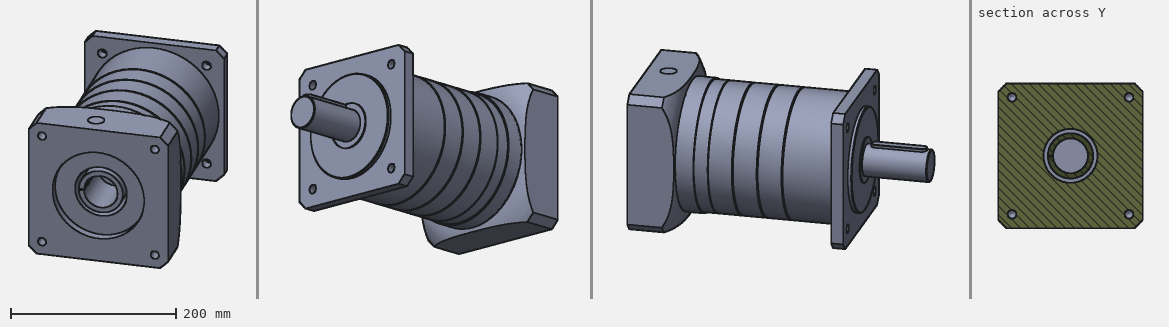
import cadquery as cq
import math


motor_block_length = 58.5
spigot_length = 23.0
input_band_length = 17.0
gear_band_length = 31.0
gear_band_count = 3
output_barrel_length = 63.0
flange_thickness = 15.0
pilot_length = 5.0
collar_length = 1.5
overall_length = 356.5

spigot_start = motor_block_length
input_band_start = spigot_start + spigot_length
ring_start = input_band_start + input_band_length
barrel_start = ring_start + gear_band_count * gear_band_length
flange_start = barrel_start + output_barrel_length
pilot_start = flange_start + flange_thickness
collar_start = pilot_start + pilot_length
shaft_start = collar_start + collar_length
shaft_length = overall_length - shaft_start

square_side = 175.0
corner_chamfer = 10.0
barrel_diameter = 162.0
spigot_diameter = 165.0
pilot_diameter = 130.0
pilot_chamfer = 1.0
collar_diameter = 56.0
shaft_diameter = 40.0
shaft_chamfer = 1.0

bevel_length = 0.9
bevel_depth = 0.5
spigot_chamfer = 0.5

flange_bolt_circle = 185.0
flange_hole_diameter = 11.0
motor_bolt_circle = 200.0
motor_hole_diameter = 10.2
motor_hole_depth = 25.0
drill_tip_angle = 118.0
drill_tip_length = motor_hole_diameter / 2 / math.tan(math.radians(drill_tip_angle / 2))

back_round_radius = 50.0
back_round_start = barrel_diameter / 2
back_round_end = 119.0

recess_diameter = 115.0
recess_depth = 12.0
hub_clearance_diameter = 65.0
hub_diameter = 55.0
hub_bore_diameter = 42.0
hub_face = 11.0
hub_end = 75.0
hub_slit_width = 1.5
hub_slit_length = 40.0

plug_diameter = 20.0
plug_depth = 10.0
plug_x = -10.0
plug_y = 26.5

key_width = 12.0
key_height = 8.0
key_length = 70.0
key_seat_depth = 5.0
key_chamfer = 0.5
key_end_gap = 4.5
key_bottom = shaft_diameter / 2 - key_seat_depth
key_center_y = overall_length - key_end_gap - key_length / 2


def section(start):
    """Workplane across the axis at a Y station, extruding toward +Y."""
    return cq.Workplane("XZ", origin=(0, start, 0)).transformed(rotate=(180, 0, 0))


def disc(start, length, diameter):
    return section(start).circle(diameter / 2).extrude(length)


def square_plate(start, length):
    plate = section(start).rect(square_side, square_side).extrude(length)
    return plate.edges("|Y").chamfer(corner_chamfer)


def square_pattern(bolt_circle):
    """X, Z centres of four holes on the diagonals of the square."""
    offset = bolt_circle / 2 / 2**0.5
    return [(x * offset, z * offset) for x in (-1, 1) for z in (-1, 1)]


def bevelled(band, end_faces):
    """Bevel the outer edge of the selected end faces of a plain cylinder."""
    return band.faces(end_faces).chamfer(bevel_length, bevel_depth)


def make_key():
    seat = cq.Workplane("XY", origin=(0, key_center_y, key_bottom))
    blank = seat.slot2D(key_length, key_width, 90).extrude(key_height)
    return blank.faces(">Z").chamfer(key_chamfer)


def make_plug():
    plug = cq.Workplane("XY", origin=(plug_x, plug_y, square_side / 2 - plug_depth))
    return plug.circle(plug_diameter / 2).extrude(plug_depth)


def make_output_housing(key):
    flange = square_plate(flange_start, flange_thickness)
    for x, z in square_pattern(flange_bolt_circle):
        hole = disc(flange_start, flange_thickness, flange_hole_diameter)
        flange = flange.cut(hole.translate((x, 0, z)))
    pilot = disc(pilot_start, pilot_length, pilot_diameter).faces(">Y").chamfer(pilot_chamfer)
    shaft = disc(shaft_start, shaft_length, shaft_diameter).faces(">Y").chamfer(shaft_chamfer)
    barrel = disc(barrel_start, output_barrel_length, barrel_diameter)
    housing = bevelled(barrel, "<Y").union(flange).union(pilot)
    housing = housing.union(disc(collar_start, collar_length, collar_diameter)).union(shaft)
    return housing.cut(key)


def make_ring_gear():
    """Gear barrel of equal bands, bevelled at both ends of each band."""
    ring = cq.Workplane("XY")
    for band in range(gear_band_count):
        band_start = ring_start + band * gear_band_length
        ring = ring.union(bevelled(disc(band_start, gear_band_length, barrel_diameter), "|Y"))
    return ring


def make_hub():
    """Sleeve with one slit on its -X side, so that it can clamp the motor shaft."""
    hub_length = hub_end - hub_face
    hub = disc(hub_face, hub_length, hub_diameter)
    hub = hub.cut(disc(hub_face, hub_length, hub_bore_diameter))
    slit = cq.Workplane("XY").box(
        hub_diameter, hub_slit_length, hub_slit_width, centered=(True, False, True)
    )
    return hub.cut(slit.translate((-hub_diameter / 2, hub_face, 0)))


def turned_envelope():
    """Turned solid whose convex back trims the corners of the motor block."""
    outer = back_round_end
    start = back_round_start

    def round_drop(radius):
        return back_round_radius - math.sqrt(back_round_radius**2 - (radius - start) ** 2)

    middle = (start + outer) / 2
    profile = (
        cq.Workplane("XY")
        .lineTo(outer, 0)
        .lineTo(outer, motor_block_length - round_drop(outer))
        .threePointArc(
            (middle, motor_block_length - round_drop(middle)),
            (start, motor_block_length),
        )
        .lineTo(0, motor_block_length)
        .close()
    )
    return profile.revolve(360, (0, 0, 0), (0, 1, 0))


def make_motor_hole():
    """Blind drilled hole with a conical tip, on the axis."""
    radius = motor_hole_diameter / 2
    profile = (
        cq.Workplane("XY")
        .lineTo(radius, 0)
        .lineTo(radius, motor_hole_depth)
        .lineTo(0, motor_hole_depth + drill_tip_length)
        .close()
    )
    return profile.revolve(360, (0, 0, 0), (0, 1, 0))


def make_input_housing(plug):
    block = square_plate(0, motor_block_length).intersect(turned_envelope())
    spigot = disc(spigot_start, spigot_length, spigot_diameter).faces(">Y").chamfer(spigot_chamfer)
    housing = block.union(spigot)
    housing = housing.union(disc(input_band_start, input_band_length, barrel_diameter))
    housing = housing.cut(disc(0, recess_depth, recess_diameter))
    housing = housing.cut(disc(0, hub_end, hub_clearance_diameter))
    motor_hole = make_motor_hole()
    for x, z in square_pattern(motor_bolt_circle):
        housing = housing.cut(motor_hole.translate((x, 0, z)))
    return housing.cut(plug)


key = make_key()
plug = make_plug()
output_housing = make_output_housing(key)
ring_gear = make_ring_gear()
hub = make_hub()
input_housing = make_input_housing(plug)

result = cq.Compound.makeCompound(
    [
        output_housing.val(),
        key.val(),
        ring_gear.val(),
        input_housing.val(),
        plug.val(),
        hub.val(),
    ]
)